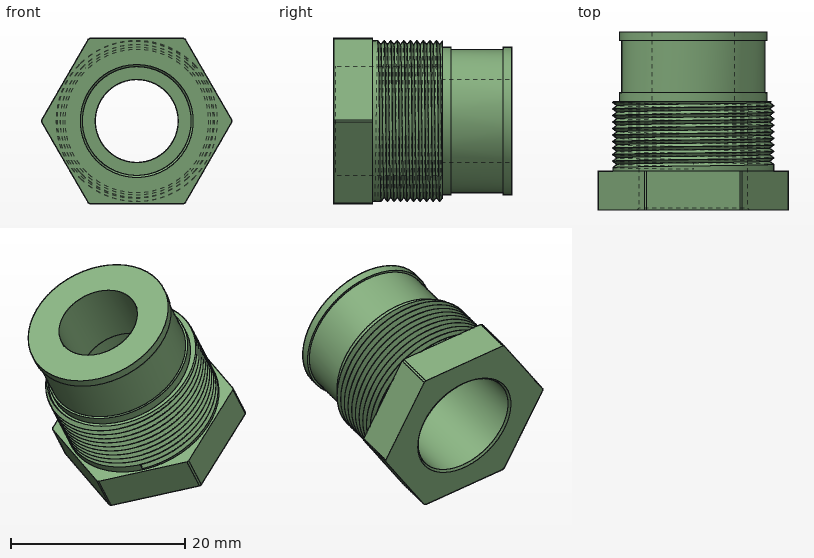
import cadquery as cq
import math

across_corners = 21.85
across_flats = 19.05
head_length = 4.5
thread_end = 12.5
total_length = 20.5
collar_length = 1.0

thread_diameter = 18.5
collar_diameter = 17.0
neck_diameter = 16.5
bore_diameter = 12.5
outlet_diameter = 9.5
bore_chamfer = 0.25

thread_depth = 0.45
thread_turns = 9.9
crest_flat = 0.02
groove_start = 5.07
pitch = (thread_end - groove_start) / thread_turns
groove_overcut = 0.005
half_sector = 30


def cylinder(diameter, start, end):
    """Solid cylinder on the Y axis between two heights."""
    base = cq.Workplane("XZ", origin=(0, start, 0))
    return base.circle(diameter / 2).extrude(start - end)


def hex_head():
    """Hexagon with flats facing +Z and -Z and its sharp corners cut flat."""
    flats_to_corners = 1 / math.cos(math.radians(half_sector))
    sharp_corners = across_flats * flats_to_corners
    head = cq.Workplane("XZ").polygon(6, sharp_corners).extrude(-head_length)
    corner_trim = cq.Workplane("XZ").transformed(rotate=(0, 0, half_sector))
    corner_trim = corner_trim.polygon(6, across_corners * flats_to_corners).extrude(-head_length)
    return head.intersect(corner_trim)


def thread_groove():
    """Right-hand V groove, swept about Z and then turned onto the Y axis."""
    root_radius = thread_diameter / 2 - thread_depth
    outer_radius = thread_diameter / 2 + groove_overcut
    half_width = (pitch - crest_flat) / 2
    height = thread_end + pitch - groove_start
    path = cq.Wire.makeHelix(pitch, height, root_radius)
    profile = (
        cq.Workplane("XZ")
        .moveTo(root_radius, 0)
        .lineTo(outer_radius, half_width)
        .lineTo(outer_radius, -half_width)
        .close()
    )
    groove = profile.sweep(cq.Workplane(path), isFrenet=True)
    groove = groove.rotate((0, 0, 0), (0, 0, 1), 90)
    groove = groove.rotate((0, 0, 0), (1, 0, 0), -90)
    return groove.translate((0, groove_start, 0))


def bore():
    """Wide bore as deep as the threaded body, with a chamfered mouth, and a narrower outlet."""
    mouth_radius = bore_diameter / 2 + bore_chamfer
    mouth = cq.Workplane(cq.Solid.makeCone(
        mouth_radius, bore_diameter / 2, bore_chamfer, dir=cq.Vector(0, 1, 0)
    ))
    wide = cylinder(bore_diameter, 0, thread_end)
    outlet = cylinder(outlet_diameter, 0, total_length)
    return wide.union(outlet).union(mouth)


threaded_body = cylinder(thread_diameter, head_length, thread_end).cut(thread_groove())
spigot = (
    cylinder(neck_diameter, head_length, total_length)
    .union(cylinder(collar_diameter, thread_end, thread_end + collar_length))
    .union(cylinder(collar_diameter, total_length - collar_length, total_length))
)

result = hex_head().union(threaded_body).union(spigot).cut(bore())